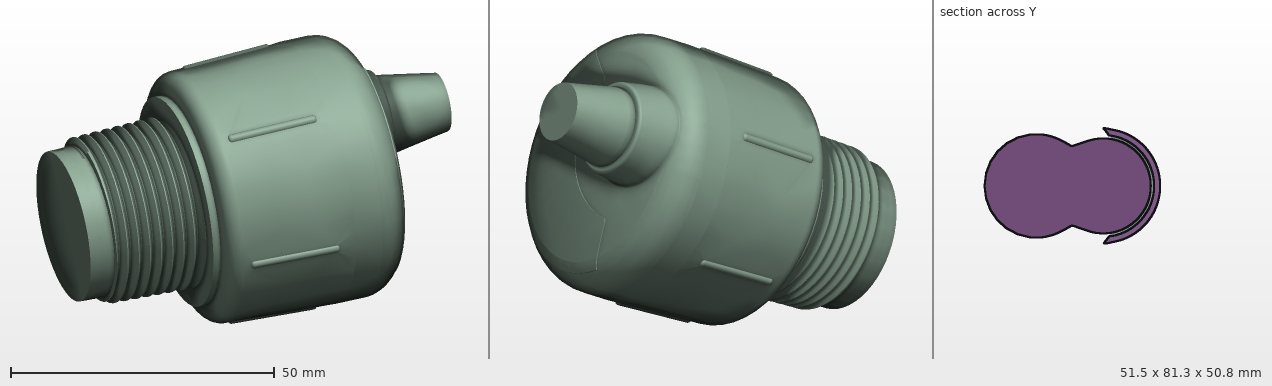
import cadquery as cq
import math


THREAD_START = 4.8
FLANGE_BOTTOM = 22.7
UNDERSIDE_INNER_HEIGHT = 24.1
UNDERSIDE_OUTER_HEIGHT = 24.6
WALL_BOTTOM = 27.55
CAP_BOTTOM = 49.6

NIPPLE_END_RADIUS = 14.55
THREAD_CREST_RADIUS = 16.2
FLANGE_RADIUS = 20.3
UNDERSIDE_RADIUS = 22.3
WALL_BOTTOM_RADIUS = 24.5
BODY_DIAMETER = 50.8
BODY_RADIUS = BODY_DIAMETER / 2

PIPE_TAPER = 1 / 32
THREAD_TURNS_IN_LENGTH = 8
THREAD_PITCH = (FLANGE_BOTTOM - THREAD_START) / THREAD_TURNS_IN_LENGTH
GROOVE_START = 4.15
GROOVE_TURNS = 8.5
GROOVE_ROOT_RADIUS = 14.55
GROOVE_ROOT_WIDTH = 0.25
CREST_WIDTH = 0.2
GROOVE_OVERCUT = 0.4
NIPPLE_ROOT_LENGTH = 3.25

RIB_COUNT = 6
RIB_BOTTOM = 28.8
RIB_TOP = 46.4
RIB_RADIUS = 0.9
RIB_HEIGHT = 0.5
RIB_END_ROUNDING = 0.6

SHOULDER_BOTTOM = 55.0
DOME_EDGE_HEIGHT = 61.2
DOME_EDGE_RADIUS = 20.6
DOME_RADIUS = 93.5
DOME_CENTRE = DOME_EDGE_HEIGHT - math.sqrt(DOME_RADIUS**2 - DOME_EDGE_RADIUS**2)

BOSS_X = -12.7
BOSS_TOP = 68.7
BOSS_TOP_RADIUS = 8.95
BOSS_TAPER = 0.16
BOSS_ROUNDING = 0.65
BOSS_ROOT_FILLET = 0.4

SLEEVE_RADIUS = 7.6
SLEEVE_TIP_RADIUS = 5.7
SLEEVE_SHOULDER = 70.0
SLEEVE_TOP = 81.3

LABEL_INNER_RADIUS = 16.75
LABEL_HALF_ANGLE = 58.0
LABEL_OUTER_RADIUS = 22.6
LABEL_THICKNESS = 0.2
LABEL_CORNER_RADIUS = 0.8


def turn(profile):
    """Revolve a closed XY profile about the Y axis."""
    return profile.close().revolve(360, (0, 0, 0), (0, 1, 0))


def upward_prism(sketch_height):
    """Workplane normal to +Y at a height; its local axes are X and -Z."""
    return cq.Workplane("XZ", origin=(0, sketch_height, 0)).transformed(rotate=(180, 0, 0))


def make_thread_groove():
    """Tapered helical V groove, ending at the +Z side of the nipple."""
    length = GROOVE_TURNS * THREAD_PITCH
    helix = cq.Wire.makeHelix(
        THREAD_PITCH,
        length,
        GROOVE_ROOT_RADIUS,
        angle=math.degrees(math.atan(PIPE_TAPER)),
        lefthand=True,
    )
    outer_radius = THREAD_CREST_RADIUS + GROOVE_OVERCUT
    root_half = GROOVE_ROOT_WIDTH / 2
    mouth_half = (THREAD_PITCH - CREST_WIDTH) / 2
    groove = (
        cq.Workplane("XZ")
        .moveTo(GROOVE_ROOT_RADIUS, -root_half)
        .lineTo(THREAD_CREST_RADIUS, -mouth_half)
        .lineTo(outer_radius, -mouth_half)
        .lineTo(outer_radius, mouth_half)
        .lineTo(THREAD_CREST_RADIUS, mouth_half)
        .lineTo(GROOVE_ROOT_RADIUS, root_half)
        .close()
        .sweep(cq.Workplane(helix), isFrenet=True)
    )
    groove = groove.rotate((0, 0, 0), (0, 0, 1), -90)
    groove = groove.rotate((0, 0, 0), (1, 0, 0), -90)
    return groove.translate((0, GROOVE_START, 0))


def make_nipple():
    """Threaded nipple with a root inside the flange, where the housing fills the end of the groove."""
    root_top = FLANGE_BOTTOM + NIPPLE_ROOT_LENGTH
    blank = turn(
        cq.Workplane("XY")
        .lineTo(NIPPLE_END_RADIUS, 0)
        .lineTo(NIPPLE_END_RADIUS + PIPE_TAPER * THREAD_START, THREAD_START)
        .lineTo(THREAD_CREST_RADIUS, THREAD_START)
        .lineTo(THREAD_CREST_RADIUS + PIPE_TAPER * (root_top - THREAD_START), root_top)
        .lineTo(0, root_top)
    )
    return blank.cut(make_thread_groove())


def make_rib():
    """Round bar partly sunk along the tapered wall on the +X side."""
    wall_slope = (BODY_RADIUS - WALL_BOTTOM_RADIUS) / (CAP_BOTTOM - WALL_BOTTOM)
    middle_height = (RIB_BOTTOM + RIB_TOP) / 2
    wall_radius = WALL_BOTTOM_RADIUS + wall_slope * (middle_height - WALL_BOTTOM)
    rib = (
        cq.Workplane("XZ")
        .circle(RIB_RADIUS)
        .extrude((RIB_TOP - RIB_BOTTOM) / 2, both=True)
        .edges()
        .fillet(RIB_END_ROUNDING)
        .rotate((0, 0, 0), (0, 0, 1), -math.degrees(math.atan(wall_slope)))
    )
    return rib.translate((wall_radius + RIB_HEIGHT - RIB_RADIUS, middle_height, 0))


def make_housing():
    """Ribbed, tapered housing with its flange and threaded nipple."""
    housing = turn(
        cq.Workplane("XY")
        .moveTo(0, FLANGE_BOTTOM)
        .lineTo(FLANGE_RADIUS, FLANGE_BOTTOM)
        .lineTo(FLANGE_RADIUS, UNDERSIDE_INNER_HEIGHT)
        .lineTo(UNDERSIDE_RADIUS, UNDERSIDE_OUTER_HEIGHT)
        .tangentArcPoint((WALL_BOTTOM_RADIUS, WALL_BOTTOM), relative=False)
        .lineTo(BODY_RADIUS, CAP_BOTTOM)
        .lineTo(0, CAP_BOTTOM)
    )
    rib = make_rib()
    for index in range(RIB_COUNT):
        housing = housing.union(rib.rotate((0, 0, 0), (0, 1, 0), index * 360 / RIB_COUNT))
    return housing.union(make_nipple())


def make_domed_shell(growth=0.0):
    """Plain cap without the boss, its shoulder and dome grown outwards along their normals."""
    edge_slope = math.asin(DOME_EDGE_RADIUS / DOME_RADIUS)
    edge_radius = DOME_EDGE_RADIUS + growth * math.sin(edge_slope)
    edge_height = DOME_EDGE_HEIGHT + growth * math.cos(edge_slope)
    return turn(
        cq.Workplane("XY")
        .moveTo(0, CAP_BOTTOM)
        .lineTo(BODY_RADIUS + growth, CAP_BOTTOM)
        .lineTo(BODY_RADIUS + growth, SHOULDER_BOTTOM)
        .tangentArcPoint((edge_radius, edge_height), relative=False)
        .radiusArc((0, DOME_CENTRE + DOME_RADIUS + growth), -(DOME_RADIUS + growth))
    )


def make_cap():
    """Domed cap with the off-centre tapered boss for the cable."""
    boss_height = BOSS_TOP - SHOULDER_BOTTOM
    boss = turn(
        cq.Workplane("XY")
        .moveTo(0, SHOULDER_BOTTOM)
        .lineTo(BOSS_TOP_RADIUS + BOSS_TAPER * boss_height, SHOULDER_BOTTOM)
        .lineTo(BOSS_TOP_RADIUS, BOSS_TOP)
        .lineTo(0, BOSS_TOP)
    )
    boss = boss.faces(">Y").edges().fillet(BOSS_ROUNDING)
    cap = make_domed_shell().union(boss.translate((BOSS_X, 0, 0)))
    boss_root = cap.edges("%BSPLINE")
    return boss_root.fillet(BOSS_ROOT_FILLET)


def make_cable_sleeve():
    """Tapered sleeve standing on the boss."""
    sleeve = turn(
        cq.Workplane("XY")
        .moveTo(0, BOSS_TOP)
        .lineTo(SLEEVE_RADIUS, BOSS_TOP)
        .lineTo(SLEEVE_RADIUS, SLEEVE_SHOULDER)
        .lineTo(SLEEVE_TIP_RADIUS, SLEEVE_TOP)
        .lineTo(0, SLEEVE_TOP)
    )
    return sleeve.translate((BOSS_X, 0, 0))


def make_label(cap):
    """Thin plate following the dome and shoulder.

    Its outline is a ring sector about the boss, trimmed by a circle about the Y axis.
    """
    reach = 2 * BODY_RADIUS
    height = BOSS_TOP - SHOULDER_BOTTOM
    cosine = math.cos(math.radians(LABEL_HALF_ANGLE))
    sine = math.sin(math.radians(LABEL_HALF_ANGLE))
    sector = (
        upward_prism(SHOULDER_BOTTOM)
        .center(BOSS_X, 0)
        .moveTo(LABEL_INNER_RADIUS * cosine, -LABEL_INNER_RADIUS * sine)
        .lineTo(reach * cosine, -reach * sine)
        .threePointArc((reach, 0), (reach * cosine, reach * sine))
        .lineTo(LABEL_INNER_RADIUS * cosine, LABEL_INNER_RADIUS * sine)
        .threePointArc((LABEL_INNER_RADIUS, 0), (LABEL_INNER_RADIUS * cosine, -LABEL_INNER_RADIUS * sine))
        .close()
        .extrude(height)
    )
    inner_corners = cq.selectors.BoxSelector((BOSS_X, 0, -reach), (0, BOSS_TOP, reach))
    sector = sector.edges("|Y").edges(inner_corners).fillet(LABEL_CORNER_RADIUS)
    disc = upward_prism(SHOULDER_BOTTOM).circle(LABEL_OUTER_RADIUS).extrude(height)
    return sector.intersect(disc).intersect(make_domed_shell(LABEL_THICKNESS)).cut(cap)


housing = make_housing()
cap = make_cap()
cable_sleeve = make_cable_sleeve()
label = make_label(cap)

result = cq.Compound.makeCompound([housing.val(), cap.val(), cable_sleeve.val(), label.val()])